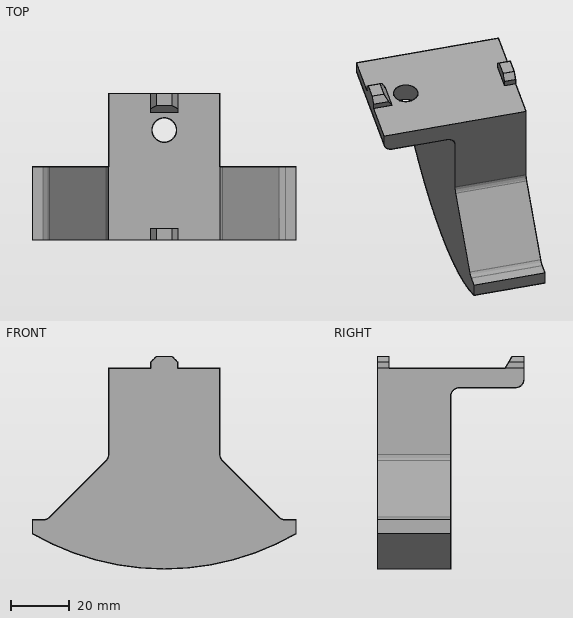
import cadquery as cq
import math

width = 90.0
depth = 50.0
height = 72.5

plate_depth = 25.0
arc_radius = 90.0
neck_width = 38.0
wing_top = 16.8
wing_flat = 4.95
corner_radius = 3.0

shelf_thickness = 6.75
shelf_radius = 3.0

key_width = 9.4
key_height = 4.0
key_chamfer = 2.0
front_key_length = 4.0
rear_key_length = 6.5
rear_key_top_length = 4.1

hole_diameter = 8.3
hole_y = 37.5

half_width = width / 2
half_neck = neck_width / 2
top_z = height - key_height
shelf_bottom = top_z - shelf_thickness
tip_bottom = arc_radius - math.sqrt(arc_radius**2 - half_width**2)
slope_foot = half_width - wing_flat
slope_top = wing_top + slope_foot - half_neck


def make_plate():
    """Neck widening into two wings, closed by an arc below."""
    plate = (
        cq.Workplane("XZ")
        .moveTo(-half_width, tip_bottom)
        .threePointArc((0, 0), (half_width, tip_bottom))
        .lineTo(half_width, wing_top)
        .lineTo(slope_foot, wing_top)
        .lineTo(half_neck, slope_top)
        .lineTo(half_neck, top_z)
        .lineTo(-half_neck, top_z)
        .lineTo(-half_neck, slope_top)
        .lineTo(-slope_foot, wing_top)
        .lineTo(-half_width, wing_top)
        .close()
        .extrude(-plate_depth)
    )
    for side in (-1, 1):
        for x, z in ((slope_foot, wing_top), (half_neck, slope_top)):
            corner = cq.selectors.NearestToPointSelector((side * x, plate_depth / 2, z))
            plate = plate.edges("|Y").edges(corner).fillet(corner_radius)
    return plate


def make_shelf():
    """Shelf as wide as the neck, with a rounded lower rear edge."""
    shelf = cq.Workplane("XY").box(neck_width, depth, shelf_thickness, centered=(True, False, False))
    shelf = shelf.translate((0, 0, shelf_bottom))
    return shelf.edges("|X and >Y and <Z").fillet(shelf_radius)


def make_key(length):
    """Key with chamfered upper side edges, starting at Y = 0."""
    key = cq.Workplane("XY").box(key_width, length, key_height, centered=(True, False, False))
    return key.edges("|Y and >Z").chamfer(key_chamfer).translate((0, 0, top_z))


def make_rear_key():
    """Key at the rear edge whose front end leans back."""
    lean = (
        cq.Workplane("YZ")
        .moveTo(depth - rear_key_length, top_z)
        .lineTo(depth, top_z)
        .lineTo(depth, height)
        .lineTo(depth - rear_key_top_length, height)
        .close()
        .extrude(key_width / 2, both=True)
    )
    return make_key(rear_key_length).translate((0, depth - rear_key_length, 0)).intersect(lean)


body = make_plate().union(make_shelf())

inner_corner = cq.selectors.NearestToPointSelector((0, plate_depth, shelf_bottom))
body = body.edges("|X").edges(inner_corner).fillet(shelf_radius)

body = body.union(make_key(front_key_length)).union(make_rear_key())

hole = (
    cq.Workplane("XY", origin=(0, hole_y, shelf_bottom))
    .circle(hole_diameter / 2)
    .extrude(shelf_thickness)
)
result = body.cut(hole)